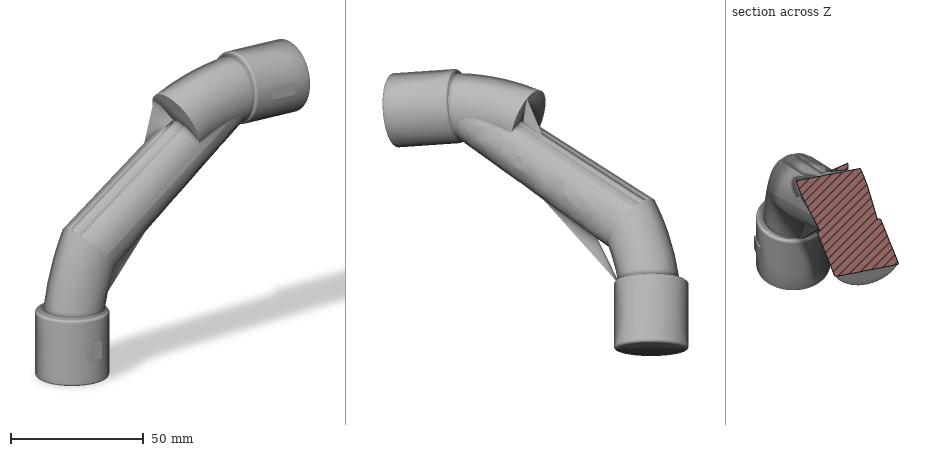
import cadquery as cq
import math

bend_radius = 85.0
collar_diameter = 28.0
collar_length = 26.0
collar_edge_radius = 1.0
sleeve_diameter = 25.5
tube_diameter = 23.0
lip_height = 0.4

lower_face_z = 12.5
upper_face_setback = 8.5
upper_face_y = bend_radius - upper_face_setback

lower_bend_end = 24.5
lower_joint_tilt = 21.5
sleeve_start = 65.0
upper_ring_angle = math.degrees(math.acos(upper_face_setback / bend_radius))

pad_height = 0.4
pad_root_depth = 1.0
upper_pad_length = 10.5
upper_pad_width = 5.0
lower_pad_length = 6.3
lower_pad_width = 6.7

groove_angles = (62.0, 86.0, 112.0, 132.0)
groove_width = 2.5
groove_depth_upper = 0.4
groove_depth_lower = 1.2

under_rib_thickness = 1.5
under_rib_outline = [(46.0, 50.3), (12.7, 12.3), (21.6, 30.3), (27.0, 37.0), (46.6, 57.0)]

gusset_rim = (-9.8, 46.4, 84.5)
gusset_foot = (-7.6, 39.5, 67.0)
gusset_face = (1.0, 47.0, 78.5)
gusset_root = (-5.0, 50.0, 70.0)


def bend_plane(angle):
    """Plane across the bend: local X is +X and local Y points away from the bend centre."""
    a = math.radians(angle)
    origin = (0, bend_radius - bend_radius * math.cos(a), bend_radius * math.sin(a))
    return cq.Plane(origin=origin, xDir=(1, 0, 0), normal=(0, -math.sin(a), -math.cos(a)))


def bend_section(diameter, start, end):
    """Round bar following the bend between two angles."""
    middle = bend_plane((start + end) / 2).origin
    first = bend_plane(start).origin
    last = bend_plane(end).origin
    path = cq.Wire.assembleEdges([cq.Edge.makeThreePointArc(first, middle, last)])
    return cq.Workplane(bend_plane(start)).circle(diameter / 2).sweep(path)


def joint_plane():
    """Tilted plane where the lower bend meets the straight span."""
    return bend_plane(lower_bend_end).rotated((-lower_joint_tilt, 0, 0))


def lower_bend():
    """Lower bend, run past the joint and trimmed on the tilted joint plane."""
    bend = bend_section(tube_diameter, 0, lower_bend_end + lower_joint_tilt)
    trim_size = 2 * tube_diameter
    trim = cq.Workplane(joint_plane()).rect(trim_size, trim_size).extrude(-trim_size)
    return bend.cut(trim)


def groove_profile(plane, angle, depth, stretch):
    """Four-sided notch cut into the tube outline; stretch lengthens local Y for a tilted section."""
    radius = tube_diameter / 2
    wall_x = radius * math.cos(math.radians(angle))
    fade_x = max(wall_x - groove_width, -radius)
    wall_y = stretch * math.sqrt(radius**2 - wall_x**2)
    fade_y = stretch * math.sqrt(radius**2 - fade_x**2)
    top_y = stretch * radius + depth
    corners = [(wall_x, top_y), (wall_x, wall_y - depth), (fade_x, fade_y), (fade_x, top_y)]
    return cq.Workplane(plane).polyline(corners).close().val()


def straight_span():
    """Ruled bar from the tilted joint to the upper collar, with grooves along its top."""
    stretch = 1 / math.cos(math.radians(lower_joint_tilt))
    radius = tube_diameter / 2
    upper_end = bend_plane(upper_ring_angle)
    lower_ring = cq.Workplane(joint_plane()).ellipse(radius, stretch * radius).val()
    upper_ring = cq.Workplane(upper_end).circle(radius).val()
    span = cq.Workplane(cq.Solid.makeLoft([lower_ring, upper_ring], True))
    for angle in groove_angles:
        lower = groove_profile(joint_plane(), angle, groove_depth_lower, stretch)
        upper = groove_profile(upper_end, angle, groove_depth_upper, 1)
        span = span.cut(cq.Workplane(cq.Solid.makeLoft([lower, upper], True)))
    return span


def collar(plane):
    """Collar with a low lip; the plane lies on its inner face, with the normal toward the tube."""
    body = cq.Workplane(plane).circle(collar_diameter / 2).extrude(-collar_length)
    body = body.edges("%CIRCLE").fillet(collar_edge_radius)
    lip = cq.Workplane(plane).circle(sleeve_diameter / 2).extrude(lip_height)
    return body.union(lip)


def marking_pad(length, width, y, z):
    depth = pad_root_depth + pad_height
    x = collar_diameter / 2 - pad_root_depth + depth / 2
    return cq.Workplane("XY").box(depth, length, width).translate((x, y, z))


def under_rib():
    return cq.Workplane("YZ").polyline(under_rib_outline).close().extrude(under_rib_thickness / 2, both=True)


def gusset():
    corners = [cq.Vector(*p) for p in (gusset_rim, gusset_foot, gusset_face, gusset_root)]
    faces = []
    for skipped in range(len(corners)):
        triangle = corners[:skipped] + corners[skipped + 1:]
        faces.append(cq.Face.makeFromWires(cq.Wire.makePolygon(triangle, close=True)))
    return cq.Workplane(cq.Solid.makeSolid(cq.Shell.makeShell(faces)))


lower_plane = cq.Plane(origin=(0, 0, lower_face_z), xDir=(1, 0, 0), normal=(0, 0, 1))
upper_plane = cq.Plane(origin=(0, upper_face_y, bend_radius), xDir=(1, 0, 0), normal=(0, -1, 0))
lower_pad_z = lower_face_z - collar_length / 2
upper_pad_y = upper_face_y + collar_length / 2

result = (
    lower_bend()
    .union(straight_span())
    .union(bend_section(sleeve_diameter, sleeve_start, 90))
    .union(under_rib())
    .union(gusset())
    .union(collar(lower_plane))
    .union(collar(upper_plane))
    .union(marking_pad(lower_pad_length, lower_pad_width, 0, lower_pad_z))
    .union(marking_pad(upper_pad_length, upper_pad_width, upper_pad_y, bend_radius))
)